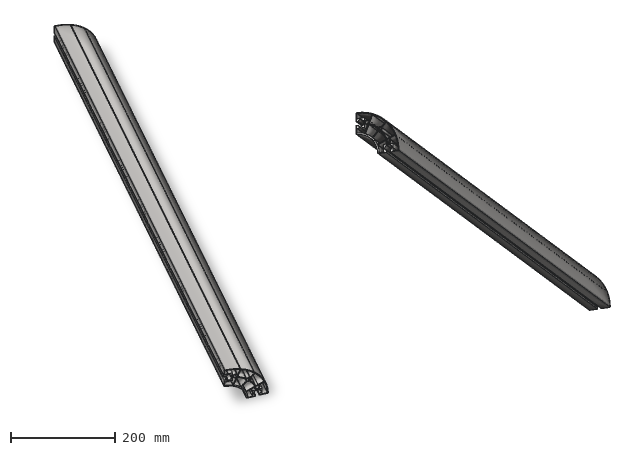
import cadquery as cq
import math

length = 1000.0
outer_radius = 90.0
inner_radius = 45.0
sweep = 90.0
corner_radius = 2.5

outer_wall = 2.0
inner_wall = 3.5
end_wall = 2.0

web_thickness = 2.0
web_angles = [sweep * quarter / 4 for quarter in (1, 2, 3)]

rib_radius = 69.0
rib_thickness = 2.0

core_hole_diameter = 7.3
core_diameter = 10.0
core_depth = 23.0
middle_core_radius = 70.0

slot_position = (outer_radius + inner_radius) / 2
mouth_half_width = 4.0
slot_half_width = 8.5
slot_floor_half_width = 4.0
lip_depth = 4.0
shoulder_depth = 8.0
bevel_depth = 9.0
slot_depth = 15.0
slot_wall = 1.5
slot_floor_wall = 2.0


def section():
    """Cross-section plane: local x is Y, local y is Z."""
    return cq.Workplane("YZ")


def polar(radius, angle):
    turn = math.radians(angle)
    return (radius * math.cos(turn), radius * math.sin(turn))


def sector(radius_in, radius_out, start, end):
    """Full-length ring sector between two angles in degrees."""
    middle = (start + end) / 2
    return (
        section()
        .moveTo(*polar(radius_in, start))
        .lineTo(*polar(radius_out, start))
        .threePointArc(polar(radius_out, middle), polar(radius_out, end))
        .lineTo(*polar(radius_in, end))
        .threePointArc(polar(radius_in, middle), polar(radius_in, start))
        .close()
        .extrude(length)
    )


def on_both_ends(shape):
    """The shape at the Z = 0 end joined with its twin, Y and Z swapped, at the Y = 0 end."""
    twin = shape.mirror("XY").rotate((0, 0, 0), (1, 0, 0), 90)
    return shape.union(twin)


def end_block(width, depth):
    """Rectangular block centred on the T-slot, reaching inward from Z = 0."""
    return section().center(slot_position, depth / 2).rect(width, depth).extrude(length)


def slot_cavity():
    """T-slot with sloped lips and a bevelled floor, open at Z = 0."""
    right_side = [
        (mouth_half_width, 0),
        (mouth_half_width, lip_depth),
        (slot_half_width, shoulder_depth),
        (slot_half_width, bevel_depth),
        (slot_floor_half_width, slot_depth),
    ]
    left_side = [(-y, z) for y, z in reversed(right_side)]
    return section().center(slot_position, 0).polyline(right_side + left_side).close().extrude(length)


def radial_web(angle):
    """Flat web from the inner to the outer radius."""
    return (
        section()
        .center(slot_position, 0)
        .rect(outer_radius - inner_radius, web_thickness)
        .extrude(length)
        .rotate((0, 0, 0), (1, 0, 0), angle)
    )


def core_rods(diameter):
    centers = [
        (slot_position, core_depth),
        polar(middle_core_radius, sweep / 2),
        (core_depth, slot_position),
    ]
    return section().pushPoints(centers).circle(diameter / 2).extrude(length)


end_panel = end_block(outer_radius - inner_radius, end_wall)
slot_box = end_block(2 * (slot_half_width + slot_wall), slot_depth + slot_floor_wall)
frame = on_both_ends(end_panel.union(slot_box))
for web_angle in web_angles:
    frame = frame.union(radial_web(web_angle))
rib = sector(
    rib_radius - rib_thickness / 2, rib_radius + rib_thickness / 2, web_angles[0], web_angles[-1]
)
frame = frame.union(rib).union(core_rods(core_diameter))
cells = sector(inner_radius + inner_wall, outer_radius - outer_wall, 0, sweep).cut(frame)

blank = sector(inner_radius, outer_radius, 0, sweep).edges("|X").fillet(corner_radius)
result = blank.cut(cells).cut(on_both_ends(slot_cavity())).cut(core_rods(core_hole_diameter))